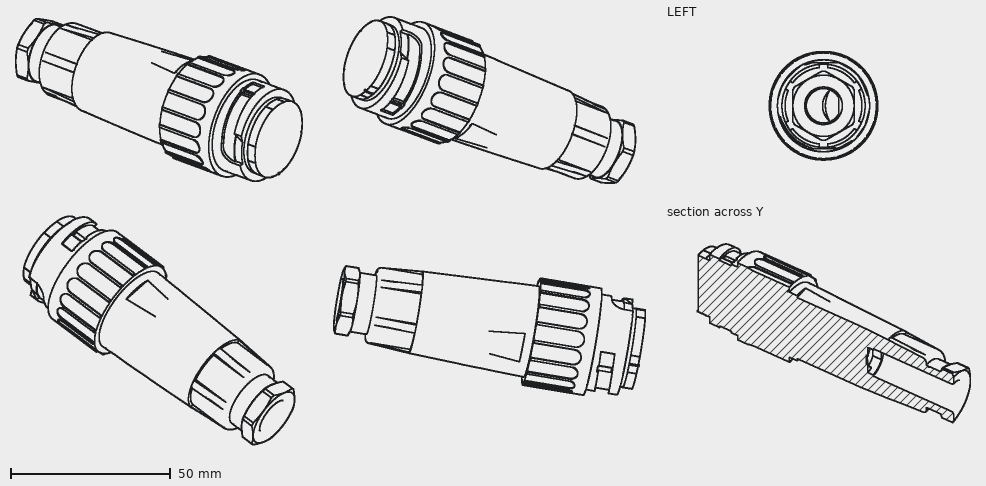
import cadquery as cq
import math


NUT_END = 4.95
NECK_END = 10.25
CAP_END = 25.2
RING_START = 61.2
FLANGE_END = 80.6
BARREL_END = 91.0
COLLAR_END = 92.4
TIP_END = 95.3
TOTAL_LENGTH = 95.53

CUT_MARGIN = 1.0

NUT_ACROSS_FLATS = 19.3
NUT_CORNER_RADIUS = 10.8
NUT_BEVEL_LENGTH = 0.5
NUT_BEVEL_DEPTH = 1.2
NECK_RADIUS = 9.4

BORE_RADIUS = 5.9
BORE_ROUND = 1.1
BORE_DEPTH = 30.0
SEAT_RADIUS = 5.4
SEAT_DEPTH = 2.0
SEAT_FLAT = 4.7
CRESCENT_ARCS = ((6.2, 5.9), (9.6, 10.2))
CRESCENT_DEPTH = 0.6

CAP_RADIUS = 12.05
CAP_ROUND = 1.4
CAP_COLLAR_RADIUS = 13.05
CAP_COLLAR_LENGTH = 0.8
CAP_RIBS = 6
CAP_RIB_WIDTH = 2.8

BODY_START_RADIUS = 13.05
BODY_MID_X = 42.0
BODY_MID_RADIUS = 13.8
BODY_END_RADIUS = 14.45
FLAT_HEIGHT = 13.5
FLAT_END = 58.35

RING_RADIUS = 17.0
RING_EDGE_BEVEL = 0.25
FLUTES = 18
FLUTE_PHASE = 3.6
FLUTE_WIDTH = 5.0
FLUTE_DEPTH = 0.45
FLUTE_END_DEPTH = 0.2
FLUTE_STRAIGHT_END = 74.35

BARREL_RADIUS = 15.15
TRACK_WIDTH = 4.4
TRACK_FLOOR_RADIUS = 14.05
TRACK_START_X = 84.95
TRACK_DRIFT = 1.3
TRACK_START_ANGLE = 13.5
TRACK_END_ANGLE = -76.0
DETENT_RADIUS = 14.5
DETENT_FROM_Y = -1.4
DETENT_VALLEY_Y = -1.9
DETENT_VALLEY_Z = 13.4
DETENT_TO_Y = -3.3
EXIT_FLOOR_RADIUS = 13.75
EXIT_BOTTOM = -4.25
EXIT_TOP = 6.1
EXIT_TOP_AT_MOUTH = 3.7
EXIT_STEP_X = 88.3
EXIT_CURVE_X = 84.15
EXIT_CURVE_TOP = 0.3

COLLAR_RADIUS = 12.55
TIP_RADIUS = 12.6
KEYWAY_RADIUS = 12.5
KEYWAY_WIDTH = 5.9
KEYWAYS = 4
PIP_SIZE = 0.5
PIP_HEIGHT = -12.3


def cylinder(x_start, x_end, radius):
    """Solid cylinder on the X axis."""
    return cq.Workplane("YZ").workplane(offset=x_start).circle(radius).extrude(x_end - x_start)


def tube(x_start, x_end, outer, inner):
    """Hollow cylinder on the X axis."""
    return cylinder(x_start, x_end, outer).cut(cylinder(x_start, x_end, inner))


def revolved(points):
    """Solid of revolution about X from (x, radius) points."""
    return cq.Workplane("XY").polyline(points).close().revolve(360, (0, 0, 0), (1, 0, 0))


def about_x(shape, angle):
    return shape.rotate((0, 0, 0), (1, 0, 0), angle)


def box(x_start, x_end, y_start, y_end, z_start, z_end):
    size = (x_end - x_start, y_end - y_start, z_end - z_start)
    return cq.Workplane("XY").box(*size, centered=False).translate((x_start, y_start, z_start))


def gland_nut():
    corner_diameter = NUT_ACROSS_FLATS / math.cos(math.radians(30))
    hexagon = cq.Workplane("YZ").polygon(6, corner_diameter).extrude(NUT_END)
    hexagon = about_x(hexagon, 90)
    end_radius = NUT_CORNER_RADIUS - NUT_BEVEL_DEPTH
    envelope = revolved([
        (0, 0),
        (0, end_radius),
        (NUT_BEVEL_LENGTH, NUT_CORNER_RADIUS),
        (NUT_END - NUT_BEVEL_LENGTH, NUT_CORNER_RADIUS),
        (NUT_END, end_radius),
        (NUT_END, 0),
    ])
    return hexagon.intersect(envelope)


def ribbed_cap():
    core = cylinder(NECK_END, CAP_END, CAP_RADIUS).faces("<X").edges().fillet(CAP_ROUND)
    rib_start = NECK_END + CAP_ROUND
    collar_start = CAP_END - CAP_COLLAR_LENGTH
    cap = core.union(cylinder(collar_start, CAP_END, CAP_COLLAR_RADIUS))
    cone = revolved([
        (rib_start, 0),
        (rib_start, CAP_RADIUS),
        (CAP_END, CAP_COLLAR_RADIUS),
        (CAP_END, 0),
    ])
    half = CAP_RIB_WIDTH / 2
    for index in range(CAP_RIBS):
        slab = box(rib_start, CAP_END, -half, half, 0, RING_RADIUS)
        cap = cap.union(about_x(slab, index * 360 / CAP_RIBS).intersect(cone))
    return cap


def tapered_body():
    body = (
        cq.Workplane("XY")
        .moveTo(CAP_END, 0)
        .lineTo(CAP_END, BODY_START_RADIUS)
        .threePointArc((BODY_MID_X, BODY_MID_RADIUS), (RING_START, BODY_END_RADIUS))
        .lineTo(RING_START, 0)
        .close()
        .revolve(360, (0, 0, 0), (1, 0, 0))
    )
    above = box(CAP_END, FLAT_END, -RING_RADIUS, RING_RADIUS, FLAT_HEIGHT, RING_RADIUS)
    return body.cut(above).cut(about_x(above, 180))


def coupling_ring():
    ring = cylinder(RING_START, FLANGE_END, RING_RADIUS).faces("<X").chamfer(RING_EDGE_BEVEL)
    end_radius = FLUTE_WIDTH / 2
    flute_end = FLUTE_STRAIGHT_END + end_radius
    floor_radius = RING_RADIUS - FLUTE_DEPTH
    floor = revolved([
        (RING_START, 0),
        (RING_START, floor_radius),
        (FLUTE_STRAIGHT_END, floor_radius),
        (flute_end, RING_RADIUS - FLUTE_END_DEPTH),
        (flute_end, 0),
    ])
    flute = (
        cq.Workplane("XY")
        .moveTo(RING_START, -end_radius)
        .lineTo(FLUTE_STRAIGHT_END, -end_radius)
        .threePointArc((flute_end, 0), (FLUTE_STRAIGHT_END, end_radius))
        .lineTo(RING_START, end_radius)
        .close()
        .extrude(RING_RADIUS + CUT_MARGIN)
        .cut(floor)
    )
    for index in range(FLUTES):
        ring = ring.cut(about_x(flute, index * 360 / FLUTES - FLUTE_PHASE))
    return ring


def track_helix():
    """Shallow helical part of a bayonet track, from above the axis round to the -Y side."""
    sweep_angle = TRACK_START_ANGLE - TRACK_END_ANGLE
    pitch = TRACK_DRIFT * 360 / sweep_angle
    depth = BARREL_RADIUS - TRACK_FLOOR_RADIUS
    path = cq.Wire.makeHelix(pitch, TRACK_DRIFT, TRACK_FLOOR_RADIUS)
    groove = (
        cq.Workplane("XZ")
        .center(TRACK_FLOOR_RADIUS, 0)
        .rect(2 * (depth + CUT_MARGIN), TRACK_WIDTH)
        .sweep(cq.Workplane(path), isFrenet=True)
    )
    groove = groove.rotate((0, 0, 0), (0, 1, 0), 90)
    groove = about_x(groove, 180 - TRACK_START_ANGLE)
    return groove.translate((TRACK_START_X, 0, 0))


def toward_front(outline):
    """Prism from an open XZ outline, running from the axis toward -Y past the barrel surface."""
    return outline.close().extrude(BARREL_RADIUS + CUT_MARGIN)


def above_floor(cutter, floor_radius):
    return cutter.cut(cylinder(FLANGE_END, BARREL_END, floor_radius))


def track_exit():
    """Mouth of a bayonet track: a curved lower wall opening through the barrel end."""
    curve_radius = EXIT_CURVE_TOP - EXIT_BOTTOM
    curve_drop = curve_radius * math.sin(math.radians(45))
    curve_length = EXIT_STEP_X - EXIT_CURVE_X
    curve_middle = (
        EXIT_CURVE_X + curve_length * (1 - math.cos(math.radians(45))),
        EXIT_CURVE_TOP - curve_drop,
    )
    turn = (
        cq.Workplane("XZ")
        .moveTo(EXIT_STEP_X, EXIT_TOP_AT_MOUTH)
        .lineTo(EXIT_CURVE_X, EXIT_TOP_AT_MOUTH)
        .lineTo(EXIT_CURVE_X, EXIT_CURVE_TOP)
        .threePointArc(curve_middle, (EXIT_STEP_X, EXIT_BOTTOM))
    )
    mouth = cq.Workplane("XZ").polyline([
        (EXIT_STEP_X, EXIT_BOTTOM),
        (BARREL_END, EXIT_BOTTOM),
        (BARREL_END, EXIT_TOP_AT_MOUTH),
        (EXIT_STEP_X, EXIT_TOP),
    ])
    ramp = cq.Workplane("XZ").polyline([
        (EXIT_STEP_X, EXIT_TOP),
        (BARREL_END, EXIT_TOP_AT_MOUTH),
        (BARREL_END, EXIT_TOP),
    ])
    ramp_slope = (
        cq.Workplane("YZ")
        .workplane(offset=EXIT_STEP_X)
        .polyline([
            (-math.sqrt(BARREL_RADIUS**2 - EXIT_TOP**2), EXIT_TOP),
            (-math.sqrt(EXIT_FLOOR_RADIUS**2 - EXIT_TOP_AT_MOUTH**2), EXIT_TOP_AT_MOUTH),
            (-BARREL_RADIUS - CUT_MARGIN, EXIT_TOP_AT_MOUTH),
            (-BARREL_RADIUS - CUT_MARGIN, EXIT_TOP),
        ])
        .close()
        .extrude(BARREL_END - EXIT_STEP_X)
    )
    mouth_cutter = above_floor(toward_front(mouth), EXIT_FLOOR_RADIUS)
    ramp_cutter = toward_front(ramp).intersect(ramp_slope)
    return toward_front(turn), mouth_cutter.union(ramp_cutter)


def across_track(points):
    """Prism along X over the closed end of a track, from (y, z) points."""
    start = TRACK_START_X - TRACK_WIDTH / 2
    return cq.Workplane("YZ").workplane(offset=start).polyline(points).close().extrude(TRACK_WIDTH)


def bayonet_track():
    """Complete track: detent pad and notch at the closed end, helix, turn and mouth."""
    turn, mouth = track_exit()
    pad_edge = (DETENT_FROM_Y, math.sqrt(DETENT_RADIUS**2 - DETENT_FROM_Y**2))
    valley = (DETENT_VALLEY_Y, DETENT_VALLEY_Z)
    notch = across_track([
        pad_edge,
        valley,
        (DETENT_TO_Y, math.sqrt(TRACK_FLOOR_RADIUS**2 - DETENT_TO_Y**2)),
        (DETENT_TO_Y, BARREL_RADIUS),
        (DETENT_FROM_Y, BARREL_RADIUS),
    ])
    pad_top = cylinder(FLANGE_END, BARREL_END, DETENT_RADIUS)
    pad = box(FLANGE_END, BARREL_END, DETENT_FROM_Y, BARREL_RADIUS, 0, BARREL_RADIUS).intersect(pad_top)
    track = above_floor(track_helix().union(turn), TRACK_FLOOR_RADIUS)
    return track.cut(pad).union(notch).union(mouth)


def bayonet_barrel():
    barrel = cylinder(FLANGE_END, BARREL_END, BARREL_RADIUS)
    track = bayonet_track()
    return barrel.cut(track).cut(about_x(track, 180))


def mating_tip():
    tip = cylinder(BARREL_END, COLLAR_END, COLLAR_RADIUS)
    tip = tip.union(cylinder(COLLAR_END, TIP_END, TIP_RADIUS))
    rim = tube(COLLAR_END, TIP_END, TIP_RADIUS + CUT_MARGIN, KEYWAY_RADIUS)
    half = KEYWAY_WIDTH / 2
    keyway = box(COLLAR_END, TIP_END, -half, half, 0, BARREL_RADIUS).intersect(rim)
    for index in range(KEYWAYS):
        tip = tip.cut(about_x(keyway, index * 360 / KEYWAYS))
    half_pip = PIP_SIZE / 2
    pip = box(COLLAR_END, TOTAL_LENGTH, -half_pip, half_pip, PIP_HEIGHT - half_pip, PIP_HEIGHT + half_pip)
    return tip.union(pip)


def cable_entry():
    """Rounded bore, then a D-shaped seat with a crescent-edged step in its floor."""
    seat_end = BORE_DEPTH + SEAT_DEPTH
    bore = cylinder(0, BORE_DEPTH, BORE_RADIUS)
    mouth = (
        cq.Workplane("XY")
        .lineTo(0, BORE_RADIUS + BORE_ROUND)
        .radiusArc((BORE_ROUND, BORE_RADIUS), -BORE_ROUND)
        .lineTo(BORE_ROUND, 0)
        .close()
        .revolve(360, (0, 0, 0), (1, 0, 0))
    )
    seat_side = box(0, RING_START, -SEAT_FLAT, SEAT_RADIUS, -SEAT_RADIUS, SEAT_RADIUS)
    entry = bore.union(mouth).union(cylinder(BORE_DEPTH, seat_end, SEAT_RADIUS).intersect(seat_side))
    for level, (arc_radius, arc_offset) in enumerate(CRESCENT_ARCS, start=1):
        floor = seat_end + level * CRESCENT_DEPTH
        step = cylinder(BORE_DEPTH, floor, SEAT_RADIUS).intersect(seat_side)
        arc = cylinder(BORE_DEPTH, floor, arc_radius).translate((0, -arc_offset, 0))
        entry = entry.union(step.intersect(arc))
    return entry


result = (
    gland_nut()
    .union(cylinder(NUT_END, NECK_END, NECK_RADIUS))
    .union(ribbed_cap())
    .union(tapered_body())
    .union(coupling_ring())
    .union(bayonet_barrel())
    .union(mating_tip())
    .cut(cable_entry())
)